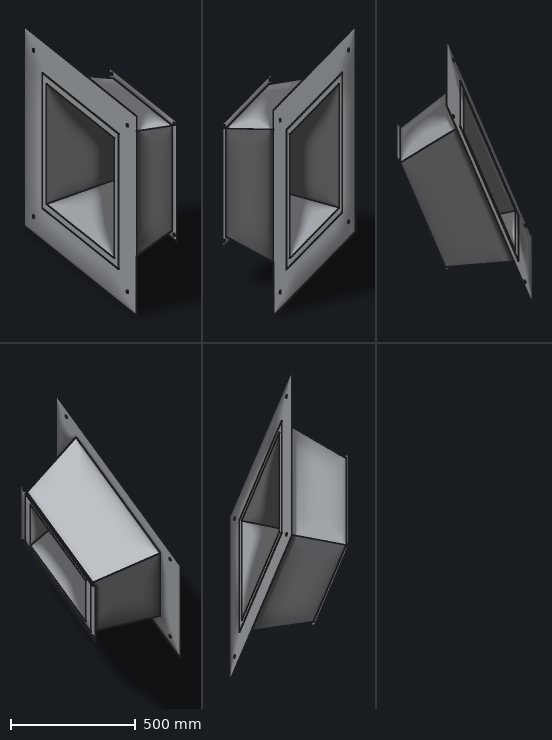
import cadquery as cq

plate_size = 900.0
depth = 290.0
sheet = 1.0

casing_front = 612.0
casing_rear = 473.0

bore_front = 543.0
bore_rear = 400.0

plate_hole_spacing = 751.0
plate_hole_diameter = 13.0

flange_size = 542.0
flange_hole_spacing = 500.0
flange_hole_diameter = 13.0

front_y = -depth / 2
rear_y = depth / 2

liner_front = casing_front - 2 * sheet
liner_rear = casing_rear - 2 * sheet


def square_taper(front_size, rear_size):
    """Square frustum over the full depth."""
    return (
        cq.Workplane("XZ", origin=(0, front_y, 0))
        .rect(front_size, front_size)
        .workplane(offset=-depth)
        .rect(rear_size, rear_size)
        .loft(ruled=True)
    )


def drilled_sheet(size, start_y, hole_spacing, hole_diameter):
    """Thin square sheet from start_y towards +Y, with one hole near each corner."""
    face = cq.Workplane("XZ", origin=(0, start_y, 0))
    blank = face.rect(size, size).extrude(-sheet)
    drills = (
        face.rect(hole_spacing, hole_spacing, forConstruction=True)
        .vertices()
        .circle(hole_diameter / 2)
        .extrude(-sheet)
    )
    return blank.cut(drills)


def make_casing():
    """Sheet-metal casing: front plate, tapered skin and rear flange in one piece."""
    plate = drilled_sheet(plate_size, front_y, plate_hole_spacing, plate_hole_diameter)
    flange = drilled_sheet(flange_size, rear_y - sheet, flange_hole_spacing, flange_hole_diameter)
    skin = square_taper(casing_front, casing_rear)
    return plate.union(skin).union(flange).cut(square_taper(liner_front, liner_rear))


def make_liner():
    """Thick tapered lining inside the casing, flush with both of its ends."""
    return square_taper(liner_front, liner_rear).cut(square_taper(bore_front, bore_rear))


casing = make_casing()
liner = make_liner()

result = cq.Compound.makeCompound([casing.val(), liner.val()])